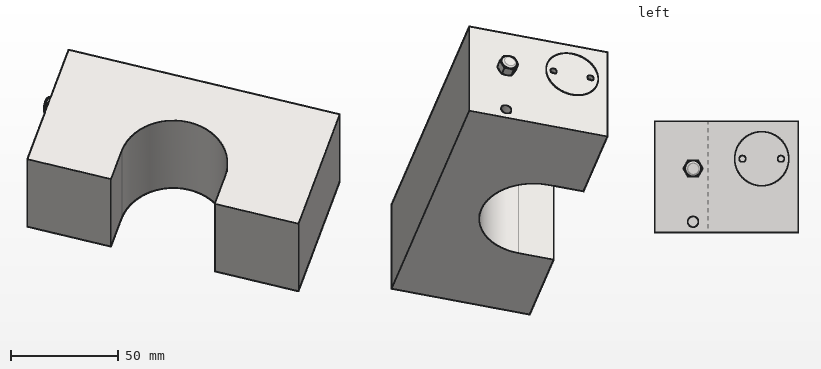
import cadquery as cq
import math

OVERALL_LENGTH = 138.0
FITTING_LENGTH = 6.0
BLOCK_LENGTH = OVERALL_LENGTH - FITTING_LENGTH
BLOCK_DEPTH = 67.0
BLOCK_HEIGHT = 52.0
END_X = -BLOCK_LENGTH / 2

SLOT_WIDTH = 50.5
SLOT_RADIUS = SLOT_WIDTH / 2
SLOT_DEPTH = 42.4

COVER_DIAMETER = 25.3
COVER_RECESS = 0.3
COVER_Y = 17.1
COVER_BELOW_TOP = 17.5
COVER_Z = BLOCK_HEIGHT - COVER_BELOW_TOP
SPANNER_SPACING = 18.0
SPANNER_DIAMETER = 3.0
SPANNER_DEPTH = 3.0

FITTING_FROM_BACK = 18.0
FITTING_BELOW_TOP = 22.1
FITTING_Y = BLOCK_DEPTH - FITTING_FROM_BACK
FITTING_Z = BLOCK_HEIGHT - FITTING_BELOW_TOP
HEX_FLATS = 7.9
HEX_CORNER_ANGLE = math.pi / 6
HEX_CORNERS = HEX_FLATS / math.cos(HEX_CORNER_ANGLE)
NOSE_DIAMETER = 7.5
NOSE_LENGTH = 0.8
NOSE_ROUND = 1.1

HOLE_DIAMETER = 5.0
HOLE_DEPTH = 10.0
HOLE_Z = 5.1


def rod(x, y, z, diameter, length):
    """Cylinder along +X starting at the given point."""
    return cq.Workplane(cq.Solid.makeCylinder(
        diameter / 2, length, cq.Vector(x, y, z), cq.Vector(1, 0, 0)))


def block():
    """Rectangular block with the round-ended opening cut in from its -Y face."""
    straight = SLOT_DEPTH - SLOT_RADIUS
    return (
        cq.Workplane("XY")
        .moveTo(END_X, 0)
        .lineTo(-SLOT_RADIUS, 0)
        .lineTo(-SLOT_RADIUS, straight)
        .threePointArc((0, SLOT_DEPTH), (SLOT_RADIUS, straight))
        .lineTo(SLOT_RADIUS, 0)
        .lineTo(-END_X, 0)
        .lineTo(-END_X, BLOCK_DEPTH)
        .lineTo(END_X, BLOCK_DEPTH)
        .close()
        .extrude(BLOCK_HEIGHT)
    )


def hex_fitting():
    """Hexagon with corners along Y, its corners chamfered at both ends, and a rounded nose."""
    tip_x = END_X - FITTING_LENGTH
    hex_length = FITTING_LENGTH - NOSE_LENGTH
    hexagon = (
        cq.Workplane("YZ", origin=(END_X, FITTING_Y, FITTING_Z))
        .polygon(6, HEX_CORNERS)
        .extrude(-hex_length)
    )
    corner_depth = (HEX_CORNERS - NOSE_DIAMETER) / 2
    chamfer_length = corner_depth * math.tan(HEX_CORNER_ANGLE)
    turned = (
        rod(END_X - hex_length, FITTING_Y, FITTING_Z, HEX_CORNERS, hex_length)
        .faces("<X or >X")
        .chamfer(chamfer_length, corner_depth)
    )
    nose = rod(tip_x, FITTING_Y, FITTING_Z, NOSE_DIAMETER, FITTING_LENGTH)
    nose = nose.faces("<X").edges().fillet(NOSE_ROUND)
    return hexagon.intersect(turned).union(nose)


result = block().union(hex_fitting())
result = result.cut(rod(END_X, COVER_Y, COVER_Z, COVER_DIAMETER, COVER_RECESS))
for side in (-1, 1):
    spanner_y = COVER_Y + side * SPANNER_SPACING / 2
    result = result.cut(rod(END_X, spanner_y, COVER_Z, SPANNER_DIAMETER, SPANNER_DEPTH))
result = result.cut(rod(END_X, FITTING_Y, HOLE_Z, HOLE_DIAMETER, HOLE_DEPTH))